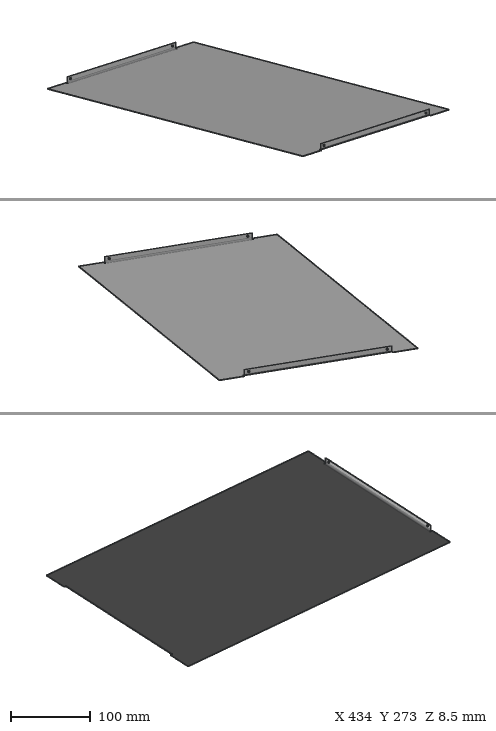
import cadquery as cq

length = 434.0
width = 273.0
height = 8.5
thickness = 1.0

flange_setback = 1.5
flange_end_margin = 35.0
end_clearance = 1.0
inner_bend_radius = 1.0
outer_bend_radius = inner_bend_radius + thickness
flange_width = width - 2 * flange_end_margin
flange_face_x = length / 2 - flange_setback
bend_start_x = flange_face_x - outer_bend_radius

hole_diameter = 2.5
hole_end_margin = 6.0
hole_top_margin = 3.5
hole_y = flange_width / 2 - hole_end_margin
hole_z = height - hole_top_margin


def make_sheet():
    """Flat sheet, cut back to the start of the bend between its corner tabs."""
    sheet = cq.Workplane("XY").box(length, width, thickness, centered=(True, True, False))
    notch_depth = length / 2 - bend_start_x
    notch_width = flange_width + 2 * end_clearance
    for side in (-1, 1):
        notch = cq.Workplane("XY").box(notch_depth, notch_width, thickness, centered=(True, True, False))
        sheet = sheet.cut(notch.translate((side * (length / 2 - notch_depth / 2), 0, 0)))
    return sheet


def make_flange():
    """Right-hand flange: a quarter-round bend followed by an upright strip with two holes."""
    flange = (
        cq.Workplane("XZ")
        .moveTo(bend_start_x, 0)
        .radiusArc((flange_face_x, outer_bend_radius), -outer_bend_radius)
        .lineTo(flange_face_x, height)
        .lineTo(flange_face_x - thickness, height)
        .lineTo(flange_face_x - thickness, outer_bend_radius)
        .radiusArc((bend_start_x, thickness), inner_bend_radius)
        .close()
        .extrude(flange_width / 2, both=True)
    )
    holes = (
        cq.Workplane("YZ", origin=(bend_start_x, 0, 0))
        .pushPoints([(-hole_y, hole_z), (hole_y, hole_z)])
        .circle(hole_diameter / 2)
        .extrude(2 * outer_bend_radius)
    )
    return flange.cut(holes)


right_flange = make_flange()
left_flange = right_flange.mirror("YZ")
result = make_sheet().union(right_flange).union(left_flange)